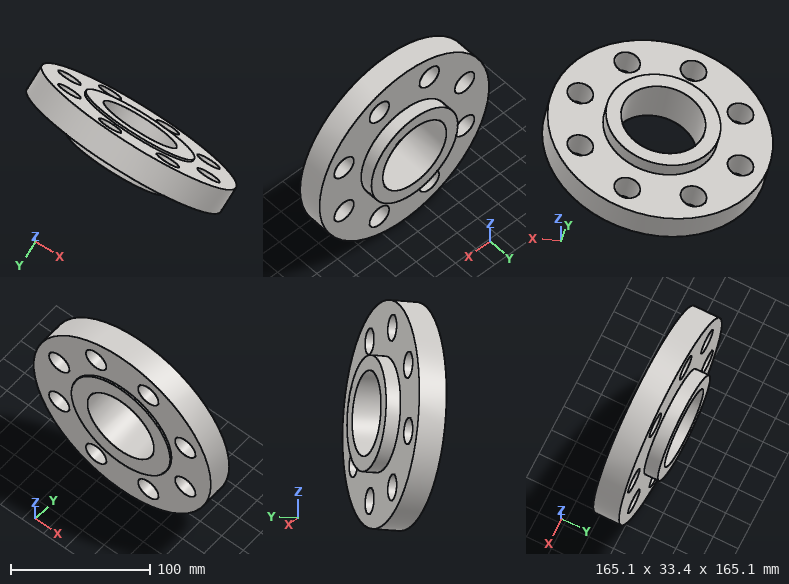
import cadquery as cq

flange_diameter = 165.1
total_depth = 33.4

face_diameter = 92.0
face_height = 1.7

flange_thickness = 20.8
hub_diameter = 84.0
hub_length = total_depth - face_height - flange_thickness

bore_diameter = 61.9
bolt_hole_diameter = 19.0
bolt_circle_diameter = 127.0
bolt_count = 8
first_bolt_angle = 360 / bolt_count / 2

flange_front = face_height
flange_back = flange_front + flange_thickness


def plane_at(y):
    """Workplane across the flange axis at the given Y, facing +Y."""
    return cq.Workplane(cq.Plane(origin=(0, y, 0), xDir=(1, 0, 0), normal=(0, 1, 0)))


def disc(diameter, start, length):
    """Solid cylinder along +Y, centred on the flange axis."""
    return plane_at(start).circle(diameter / 2).extrude(length)


raised_face = disc(face_diameter, 0, face_height)
flange = disc(flange_diameter, flange_front, flange_thickness)
hub = disc(hub_diameter, flange_back, hub_length)
body = raised_face.union(flange).union(hub)

bore = disc(bore_diameter, 0, total_depth)

bolt_holes = (
    plane_at(flange_front)
    .polarArray(bolt_circle_diameter / 2, first_bolt_angle, 360, bolt_count)
    .circle(bolt_hole_diameter / 2)
    .extrude(flange_thickness)
)

result = body.cut(bore).cut(bolt_holes)